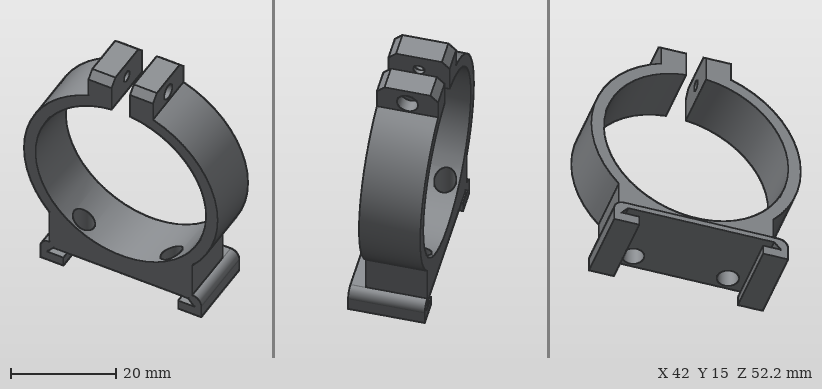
import cadquery as cq

total_height = 52.15
ring_depth = 12.0
rail_depth = 15.0

outer_diameter = 42.0
inner_diameter = 36.95
ring_center_z = 26.7

gap_width = 3.95
ear_outer_x = 7.0
ear_chamfer = 1.5
ear_hole_drop = 3.35
screw_diameter = 2.2
counterbore_diameter = 4.1
counterbore_depth = 2.7
nut_bore_diameter = 3.2
nut_bore_depth = 4.0

pedestal_half_width = 15.5
rail_half_width = 17.4
shoulder_radius = rail_half_width - pedestal_half_width
shoulder_z = 4.85
slot_top_z = 3.65
slot_top_half_width = 14.6
slot_half_width = 15.95
lip_height = 2.1
lip_inner_x = 12.4

access_diameter = 4.2
access_x = 9.5
access_y = 2.75

mid_y = ring_depth / 2


def box(x_min, x_max, y_max, z_min, z_max):
    """Box that starts on the front face and runs back to y_max."""
    size = (x_max - x_min, y_max, z_max - z_min)
    return cq.Workplane("XY").box(*size, centered=False).translate((x_min, 0, z_min))


def front_cylinder(diameter):
    """Cylinder along Y, on the ring axis and as deep as the ring."""
    return (
        cq.Workplane("XZ", origin=(0, 0, ring_center_z))
        .circle(diameter / 2)
        .extrude(-ring_depth)
    )


def side_cylinder(diameter, x_min, x_max):
    """Cylinder along X on the ear screw axis."""
    axis_start = (x_min, mid_y, total_height - ear_hole_drop)
    return cq.Workplane("YZ", origin=axis_start).circle(diameter / 2).extrude(x_max - x_min)


def make_rail():
    """Rail with rounded shoulders and a dovetail-roofed slot between the feet."""
    rail = (
        box(-rail_half_width, rail_half_width, rail_depth, 0, shoulder_z)
        .edges("|Y and >Z")
        .fillet(shoulder_radius)
    )
    slot = (
        cq.Workplane("XZ")
        .moveTo(-lip_inner_x, 0)
        .lineTo(-lip_inner_x, lip_height)
        .lineTo(-slot_half_width, lip_height)
        .lineTo(-slot_top_half_width, slot_top_z)
        .lineTo(slot_top_half_width, slot_top_z)
        .lineTo(slot_half_width, lip_height)
        .lineTo(lip_inner_x, lip_height)
        .lineTo(lip_inner_x, 0)
        .close()
        .extrude(-rail_depth)
    )
    return rail.cut(slot)


def make_ears():
    """Block for both ears, with its front and back top edges chamfered."""
    block = box(-ear_outer_x, ear_outer_x, ring_depth, ring_center_z, total_height)
    return block.edges("|X and >Z").chamfer(ear_chamfer)


pedestal = box(-pedestal_half_width, pedestal_half_width, ring_depth, slot_top_z, ring_center_z / 2)
body = front_cylinder(outer_diameter).union(make_ears()).union(pedestal).union(make_rail())
body = body.cut(front_cylinder(inner_diameter))
body = body.cut(box(-gap_width / 2, gap_width / 2, ring_depth, ring_center_z, total_height))

body = body.cut(side_cylinder(screw_diameter, -ear_outer_x, ear_outer_x))
body = body.cut(side_cylinder(counterbore_diameter, -ear_outer_x, counterbore_depth - ear_outer_x))
body = body.cut(side_cylinder(nut_bore_diameter, ear_outer_x - nut_bore_depth, ear_outer_x))

for x in (-access_x, access_x):
    access_hole = (
        cq.Workplane("XY", origin=(x, access_y, slot_top_z))
        .circle(access_diameter / 2)
        .extrude(ring_center_z - slot_top_z)
    )
    body = body.cut(access_hole)

result = body